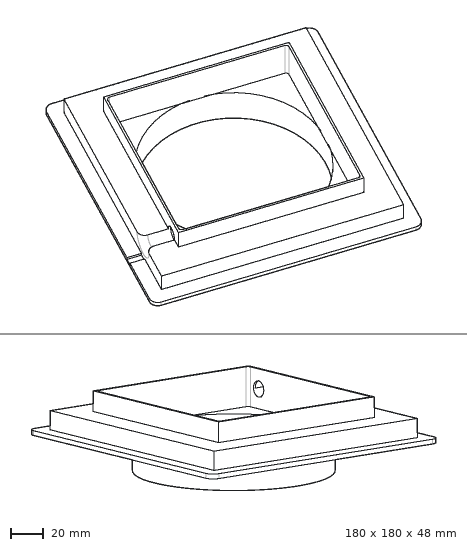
import cadquery as cq

flange_side = 180.0
flange_thickness = 3.0
flange_corner_radius = 5.5

step_side = 160.5
step_height = 12.0
rim_side = 123.0
rim_height = 13.0
pocket_side = 120.0
pocket_corner_radius = 2.0
pocket_depth = 25.0

collar_diameter = 125.0
bore_diameter = 122.0
collar_height = 20.0

channel_x = 50.0
channel_diameter = 10.0
channel_rise = 0.4
flare_radius = channel_diameter / 2
notch_width = 5.0
notch_depth = 1.6

flange_top = collar_height + flange_thickness
step_top = flange_top + step_height
rim_top = step_top + rim_height
pocket_floor = rim_top - pocket_depth
channel_z = step_top + channel_rise
step_front_y = -step_side / 2


def square_block(side, bottom, height):
    """Square block centred on the Z axis."""
    return cq.Workplane("XY").workplane(offset=bottom).rect(side, side).extrude(height)


def make_body():
    """Flange with two square tiers above it and a round collar below."""
    collar = cq.Workplane("XY").circle(collar_diameter / 2).extrude(collar_height)
    flange = square_block(flange_side, collar_height, flange_thickness)
    flange = flange.edges("|Z").fillet(flange_corner_radius)
    step = square_block(step_side, flange_top, step_height)
    rim = square_block(rim_side, step_top, rim_height)
    return collar.union(flange).union(step).union(rim)


def make_opening():
    """Square pocket over the round bore."""
    pocket = square_block(pocket_side, pocket_floor, pocket_depth)
    pocket = pocket.edges("|Z").fillet(pocket_corner_radius)
    bore = cq.Workplane("XY").circle(bore_diameter / 2).extrude(pocket_floor)
    return pocket.union(bore)


def make_channel():
    """Round channel along Y, opening as a quarter-round bell at the step face."""
    radius = channel_diameter / 2
    mouth_radius = radius + flare_radius
    flare_start_y = step_front_y + flare_radius
    arc_offset = flare_radius * 0.5 ** 0.5
    arc_middle = (mouth_radius - arc_offset, flare_start_y - arc_offset)
    profile = (
        cq.Workplane("XY")
        .moveTo(0, step_front_y)
        .lineTo(mouth_radius, step_front_y)
        .threePointArc(arc_middle, (radius, flare_start_y))
        .lineTo(radius, 0)
        .lineTo(0, 0)
        .close()
    )
    channel = profile.revolve(360, (0, 0, 0), (0, 1, 0))
    return channel.translate((channel_x, 0, channel_z))


def make_notch():
    """Shallow slot across the flange, from its edge to the step face."""
    length = (flange_side - step_side) / 2
    return (
        cq.Workplane("XY")
        .box(notch_width, length, notch_depth, centered=(True, False, False))
        .translate((channel_x, -flange_side / 2, flange_top - notch_depth))
    )


result = make_body().cut(make_opening()).cut(make_channel()).cut(make_notch())